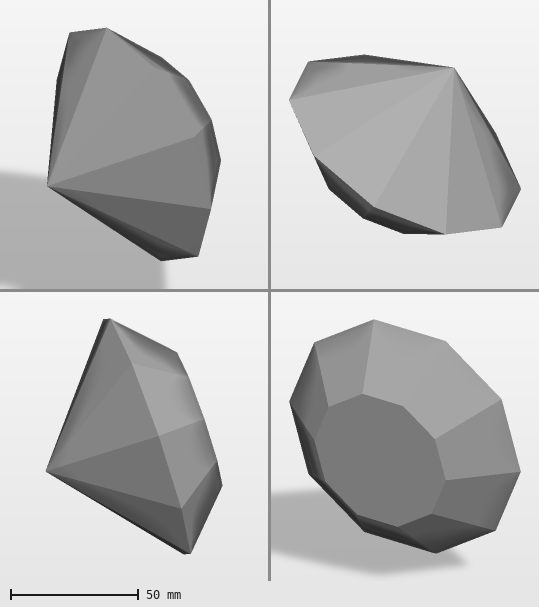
import cadquery as cq
import math

side_count = 10
width = 102.2
girdle_turn = 2.5
pavilion_depth = 42.2
crown_height = 21.1
table_radius = 29.0

girdle_radius = width / 2 / math.cos(math.radians(girdle_turn))


def ring(radius, y):
    """Corners of a regular polygon lying in the plane at height y."""
    angles = [math.radians(girdle_turn + 360 / side_count * i) for i in range(side_count)]
    return [cq.Vector(radius * math.cos(a), y, radius * math.sin(a)) for a in angles]


def facet(corners):
    """Flat face bounded by straight edges through the corners."""
    return cq.Face.makeFromWires(cq.Wire.makePolygon(corners, close=True))


apex = cq.Vector(0, -pavilion_depth, 0)
girdle = ring(girdle_radius, 0)
table = ring(table_radius, crown_height)

facets = [facet(table)]
for i in range(side_count):
    following = (i + 1) % side_count
    facets.append(facet([apex, girdle[i], girdle[following]]))
    facets.append(facet([girdle[i], table[i], table[following], girdle[following]]))

gem = cq.Solid.makeSolid(cq.Shell.makeShell(facets)).fix()
result = cq.Workplane("XY").newObject([gem])